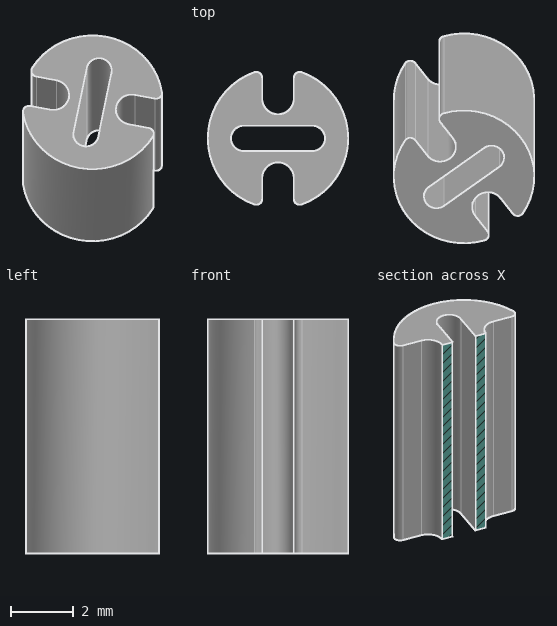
import cadquery as cq

length = 7.5
diameter = 4.5

groove_width = 1.005
groove_bottom = 0.77
lip_radius = 0.195

slot_length = 3.0
slot_width = 0.8


def groove_cutter(side):
    """Full-length groove on the +Y (side = 1) or -Y (side = -1) half."""
    radius = groove_width / 2
    arc_center = side * (groove_bottom + radius)
    mouth = side * diameter / 2
    return (
        cq.Workplane("XY")
        .moveTo(-radius, mouth)
        .lineTo(-radius, arc_center)
        .threePointArc((0, side * groove_bottom), (radius, arc_center))
        .lineTo(radius, mouth)
        .close()
        .extrude(length)
    )


body = cq.Workplane("XY").circle(diameter / 2).extrude(length)
for side in (1, -1):
    body = body.cut(groove_cutter(side))

lip_zone_width = 2 * groove_width
lip_zone_depth = diameter / 8
for side in (1, -1):
    lip_zone = cq.selectors.BoxSelector(
        (-lip_zone_width / 2, side * diameter / 2, 0),
        (lip_zone_width / 2, side * (diameter / 2 - lip_zone_depth), length),
    )
    body = body.edges("|Z").edges(lip_zone).fillet(lip_radius)

slot = cq.Workplane("XY").slot2D(slot_length, slot_width).extrude(length)
result = body.cut(slot)